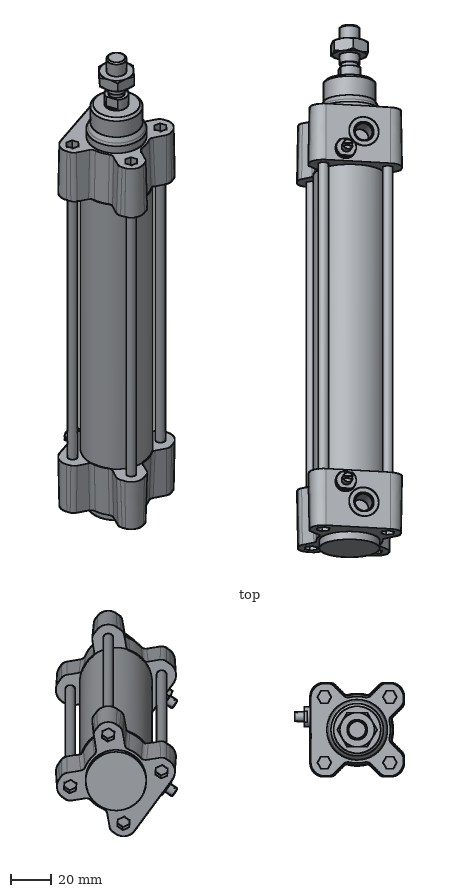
import cadquery as cq
import math


TOTAL_HEIGHT = 271.0
REAR_BOSS_HEIGHT = 4.0
HEAD_LENGTH = 29.3
TUBE_LENGTH = 160.7
REAR_HEAD_TOP = REAR_BOSS_HEIGHT + HEAD_LENGTH
FRONT_HEAD_BOTTOM = REAR_HEAD_TOP + TUBE_LENGTH
FRONT_HEAD_TOP = FRONT_HEAD_BOTTOM + HEAD_LENGTH
MIDDLE_HEIGHT = REAR_HEAD_TOP + TUBE_LENGTH / 2

TUBE_DIAMETER = 36.0
TIE_ROD_DIAMETER = 5.1
TIE_ROD_OFFSET = 16.3
SOCKET_ACROSS_FLATS = 6.0
SOCKET_DEPTH = 6.0

HEAD_WIDTH = 47.0
HEAD_HALF_WIDTH = HEAD_WIDTH / 2
HEAD_DRAFT_ANGLE = 1.0
VALLEY_TURNS = (0, 90, 270)
VALLEY_FLOOR_RADIUS = 17.5
VALLEY_HALF_WIDTH = 5.5
VALLEY_DRAFT_ANGLE = 2.2
VALLEY_FILLET = 3.0
LOBE_SHOULDER_RADIUS = 4.0

OVERALL_WIDTH = 54.5
PORT_Y = -3.0
PORT_INSET = 16.0
PORT_DIAMETER = 8.7
PORT_MOUTH_DIAMETER = 10.0
PORT_DEPTH = 10.8
SPOT_FACE_DIAMETER = 15.0
SPOT_FACE_X = -22.8
SCREW_Y = 6.5
SCREW_INSET = 6.2
SCREW_TIP_X = HEAD_HALF_WIDTH - OVERALL_WIDTH
SCREW_TIP_DIAMETER = 5.0
SCREW_FLANGE_X = -26.3
SCREW_FLANGE_DIAMETER = 10.0
SCREW_FLATS_X = -24.7
SCREW_ACROSS_FLATS = 8.5
SCREW_SLOT_WIDTH = 1.4
SCREW_SLOT_DEPTH = 1.4

COLLAR_DIAMETER = 30.0
COLLAR_TOP = 227.6
FLARE_DIAMETER = 28.7
FLARE_BOTTOM = 229.3
CAP_DIAMETER = 26.0
CAP_BOTTOM = 231.7
CAP_TOP = 242.8
CAP_CHAMFER = 1.4

ROD_DIAMETER = 12.0
ROD_SHOULDER = 249.3
ROD_ACROSS_FLATS = 10.0
ROD_FLATS_BOTTOM = 243.5
NECK_DIAMETER = 8.5
THREAD_BOTTOM = 251.8
THREAD_DIAMETER = 10.0
THREAD_CHAMFER = 0.8

NUT_ACROSS_FLATS = 17.0
NUT_BOTTOM = 256.5
NUT_THICKNESS = 6.5
NUT_CHAMFER_ANGLE = 30.0


def disk(diameter, bottom, top):
    """Round bar on the Z axis between two heights."""
    return cq.Workplane("XY").workplane(offset=bottom).circle(diameter / 2).extrude(top - bottom)


def x_bar(diameter, y, z, x_start, x_end):
    """Round bar along X between two X positions."""
    return (
        cq.Workplane("YZ", origin=(x_start, y, z)).circle(diameter / 2).extrude(x_end - x_start)
    )


def hexagon_corners(across_flats):
    """Distance between opposite corners of a hexagon."""
    return across_flats / math.cos(math.radians(30))


def drafted_block():
    """Rounded square block whose four sides lean inwards away from the tube."""
    corner_radius = HEAD_HALF_WIDTH - TIE_ROD_OFFSET
    outline = (
        cq.Sketch()
        .rect(HEAD_WIDTH, HEAD_WIDTH)
        .vertices()
        .fillet(corner_radius)
    )
    block = cq.Workplane("XY").placeSketch(outline).extrude(HEAD_LENGTH, taper=HEAD_DRAFT_ANGLE)
    return block.translate((0, 0, FRONT_HEAD_BOTTOM))


def valley_cutter(turn):
    """Valley between two lobes: an arched floor and 45 degree flanks, sloping towards the axis.

    The cutter faces +X and is turned about Z by the given angle.
    """
    floor_corner = math.sqrt(VALLEY_FLOOR_RADIUS**2 - VALLEY_HALF_WIDTH**2)
    flank_reach = HEAD_HALF_WIDTH
    inward_lean = HEAD_LENGTH * math.tan(math.radians(VALLEY_DRAFT_ANGLE))
    outline = (
        cq.Workplane("XY")
        .moveTo(floor_corner, -VALLEY_HALF_WIDTH)
        .threePointArc((VALLEY_FLOOR_RADIUS, 0), (floor_corner, VALLEY_HALF_WIDTH))
        .line(flank_reach, flank_reach)
        .lineTo(floor_corner + flank_reach, -VALLEY_HALF_WIDTH - flank_reach)
        .close()
    )
    cutter = cq.Solid.extrudeLinear(outline.val(), [], cq.Vector(-inward_lean, 0, HEAD_LENGTH))
    return (
        cq.Workplane("XY")
        .newObject([cutter])
        .translate((0, 0, FRONT_HEAD_BOTTOM))
        .rotate((0, 0, 0), (0, 0, 1), turn)
    )


def upright_edges(head, nearest, farthest):
    """Edges that run up the head with their middle between two distances from the axis."""
    found = []
    for edge in head.edges().vals():
        center = edge.Center()
        distance = math.hypot(center.x, center.y)
        runs_up = edge.BoundingBox().zlen > HEAD_LENGTH / 2
        if runs_up and nearest < distance < farthest:
            found.append(edge)
    return head.newObject(found)


def head_blank():
    """Block with valleys on +X and both Y sides; the -X side stays flat."""
    head = drafted_block()
    for turn in VALLEY_TURNS:
        head = head.cut(valley_cutter(turn))
    tie_rod_distance = math.hypot(TIE_ROD_OFFSET, TIE_ROD_OFFSET)
    draft_inset = HEAD_LENGTH * math.tan(math.radians(HEAD_DRAFT_ANGLE))
    corner_distance = math.hypot(HEAD_HALF_WIDTH - draft_inset, TIE_ROD_OFFSET)
    head = upright_edges(head, 0, tie_rod_distance).fillet(VALLEY_FILLET)
    return upright_edges(head, tie_rod_distance, corner_distance).fillet(LOBE_SHOULDER_RADIUS)


def cushion_screw():
    """Slotted screw with a round flange that carries two wrench flats."""
    z = FRONT_HEAD_BOTTOM + SCREW_INSET
    tip = x_bar(SCREW_TIP_DIAMETER, SCREW_Y, z, SCREW_TIP_X, SPOT_FACE_X)
    slot = (
        cq.Workplane("XY")
        .box(2 * SCREW_SLOT_DEPTH, SCREW_TIP_DIAMETER, SCREW_SLOT_WIDTH)
        .translate((SCREW_TIP_X, SCREW_Y, z))
    )
    flange = x_bar(SCREW_FLANGE_DIAMETER, SCREW_Y, z, SCREW_FLATS_X, SPOT_FACE_X)
    flats_length = SCREW_FLATS_X - SCREW_FLANGE_X
    flats = x_bar(SCREW_FLANGE_DIAMETER, SCREW_Y, z, SCREW_FLANGE_X, SCREW_FLATS_X).intersect(
        cq.Workplane("XY")
        .box(flats_length, SCREW_FLANGE_DIAMETER, SCREW_ACROSS_FLATS)
        .translate((SCREW_FLANGE_X + flats_length / 2, SCREW_Y, z))
    )
    return tip.cut(slot).union(flange).union(flats)


def air_port():
    """Cutter for the port: spot face, chamfered mouth and blind hole."""
    z = FRONT_HEAD_BOTTOM + PORT_INSET
    mouth_depth = (PORT_MOUTH_DIAMETER - PORT_DIAMETER) / 2
    spot_face = x_bar(SPOT_FACE_DIAMETER, PORT_Y, z, -HEAD_HALF_WIDTH, SPOT_FACE_X)
    hole = x_bar(PORT_DIAMETER, PORT_Y, z, SPOT_FACE_X, SPOT_FACE_X + PORT_DEPTH)
    mouth = (
        cq.Workplane("YZ", origin=(SPOT_FACE_X, PORT_Y, z))
        .circle(PORT_MOUTH_DIAMETER / 2)
        .workplane(offset=mouth_depth)
        .circle(PORT_DIAMETER / 2)
        .loft(ruled=True)
    )
    return spot_face.union(mouth).union(hole)


def tie_rod_pattern():
    """Workplane points of the four tie rods, at height zero."""
    spacing = 2 * TIE_ROD_OFFSET
    return cq.Workplane("XY").rarray(spacing, spacing, 2, 2)


def front_head():
    """Head at the rod end, with its port, cushion screw and hexagon sockets over the tie rods."""
    sockets = (
        tie_rod_pattern()
        .polygon(6, hexagon_corners(SOCKET_ACROSS_FLATS))
        .extrude(SOCKET_DEPTH)
        .translate((0, 0, FRONT_HEAD_TOP - SOCKET_DEPTH))
    )
    return head_blank().cut(air_port()).cut(sockets).union(cushion_screw())


def front_cap():
    """Collar, flare and cap turned around the piston rod."""
    cap_radius = CAP_DIAMETER / 2
    profile = [
        (0, FRONT_HEAD_TOP),
        (COLLAR_DIAMETER / 2, FRONT_HEAD_TOP),
        (COLLAR_DIAMETER / 2, COLLAR_TOP),
        (FLARE_DIAMETER / 2, FLARE_BOTTOM),
        (cap_radius, CAP_BOTTOM),
        (cap_radius, CAP_TOP - CAP_CHAMFER),
        (cap_radius - CAP_CHAMFER, CAP_TOP),
        (0, CAP_TOP),
    ]
    return cq.Workplane("XZ").polyline(profile).close().revolve(360, (0, 0), (0, 1))


def make_cylinder():
    """Tube, tie rods, front head, mirrored rear head, rear boss and cap in one solid, bored for the rod."""
    head = front_head()
    rear_head = head.mirror("XY", (0, 0, MIDDLE_HEIGHT))
    tie_rods = (
        tie_rod_pattern()
        .circle(TIE_ROD_DIAMETER / 2)
        .extrude(TUBE_LENGTH)
        .translate((0, 0, REAR_HEAD_TOP))
    )
    body = disk(TUBE_DIAMETER, REAR_HEAD_TOP, FRONT_HEAD_BOTTOM)
    body = body.union(head).union(rear_head).union(tie_rods)
    body = body.union(disk(COLLAR_DIAMETER, 0, REAR_BOSS_HEIGHT)).union(front_cap())
    rod_bore = disk(ROD_DIAMETER, FRONT_HEAD_BOTTOM, CAP_TOP)
    return body.cut(rod_bore)


def make_piston_rod():
    """Rod with two wrench flats, an undercut neck and a chamfered thread."""
    shank = disk(ROD_DIAMETER, FRONT_HEAD_BOTTOM, ROD_SHOULDER)
    flats_height = ROD_SHOULDER - ROD_FLATS_BOTTOM
    for side in (-1, 1):
        flat_center_y = side * (ROD_ACROSS_FLATS + ROD_DIAMETER) / 2
        flat = (
            cq.Workplane("XY")
            .box(ROD_DIAMETER, ROD_DIAMETER, flats_height)
            .translate((0, flat_center_y, ROD_FLATS_BOTTOM + flats_height / 2))
        )
        shank = shank.cut(flat)
    neck = disk(NECK_DIAMETER, ROD_SHOULDER, THREAD_BOTTOM)
    thread = disk(THREAD_DIAMETER, THREAD_BOTTOM, TOTAL_HEIGHT).faces(">Z").chamfer(THREAD_CHAMFER)
    return shank.union(neck).union(thread)


def make_lock_nut():
    """Hexagon nut with a corner on +X and both ends chamfered."""
    corner_radius = hexagon_corners(NUT_ACROSS_FLATS) / 2
    flat_radius = NUT_ACROSS_FLATS / 2
    chamfer_height = (corner_radius - flat_radius) * math.tan(math.radians(NUT_CHAMFER_ANGLE))
    nut_top = NUT_BOTTOM + NUT_THICKNESS
    hexagon = (
        cq.Workplane("XY")
        .workplane(offset=NUT_BOTTOM)
        .polygon(6, 2 * corner_radius)
        .extrude(NUT_THICKNESS)
    )
    envelope_profile = [
        (0, NUT_BOTTOM),
        (flat_radius, NUT_BOTTOM),
        (corner_radius, NUT_BOTTOM + chamfer_height),
        (corner_radius, nut_top - chamfer_height),
        (flat_radius, nut_top),
        (0, nut_top),
    ]
    envelope = cq.Workplane("XZ").polyline(envelope_profile).close().revolve(360, (0, 0), (0, 1))
    return hexagon.intersect(envelope).cut(disk(THREAD_DIAMETER, NUT_BOTTOM, nut_top))


cylinder = make_cylinder()
piston_rod = make_piston_rod()
lock_nut = make_lock_nut()

result = cq.Compound.makeCompound([cylinder.val(), piston_rod.val(), lock_nut.val()])